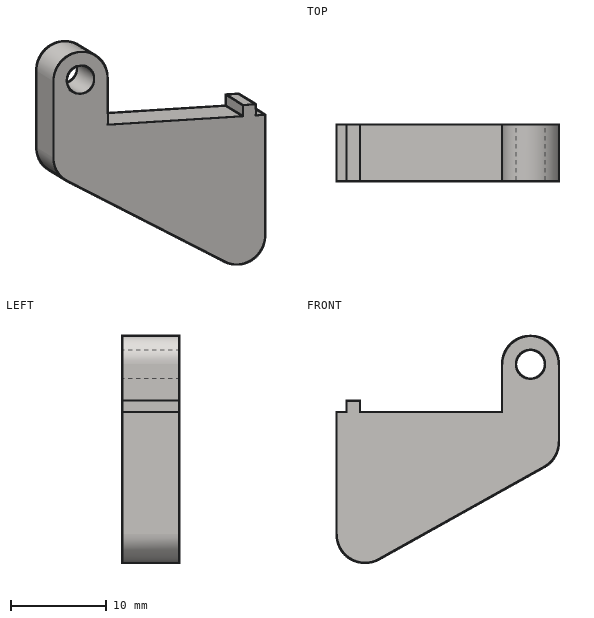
import cadquery as cq
import math

length = 23.4
thickness = 6.0
height = 23.9

end_radius = thickness / 2
hole_diameter = 3.0
lug_left = length - 2 * end_radius

shelf_height = 15.9
rib_left = 1.05
rib_width = 1.43
rib_height = 1.2

foot_center = (end_radius, end_radius)
elbow_center = (length - end_radius, 12.71)
lug_center = (length - end_radius, height - end_radius)

slope = math.atan2(elbow_center[1] - foot_center[1], elbow_center[0] - foot_center[0])
underside_direction = slope - math.pi / 2


def on_round(center, angle):
    """Point on a rounded corner at an angle measured from +X toward +Z."""
    return (
        center[0] + end_radius * math.cos(angle),
        center[1] + end_radius * math.sin(angle),
    )


def make_body():
    """Plate with a sloping underside and an upright lug at its right end."""
    profile = (
        cq.Workplane("XZ")
        .moveTo(0, shelf_height)
        .lineTo(*on_round(foot_center, math.pi))
        .threePointArc(
            on_round(foot_center, (underside_direction - math.pi) / 2),
            on_round(foot_center, underside_direction),
        )
        .lineTo(*on_round(elbow_center, underside_direction))
        .threePointArc(
            on_round(elbow_center, underside_direction / 2),
            on_round(elbow_center, 0),
        )
        .lineTo(*on_round(lug_center, 0))
        .threePointArc(
            on_round(lug_center, math.pi / 2),
            on_round(lug_center, math.pi),
        )
        .lineTo(lug_left, shelf_height)
        .close()
    )
    return profile.extrude(thickness / 2, both=True)


def make_rib():
    """Low rib across the full thickness."""
    return cq.Workplane("XY").box(
        rib_width, thickness, rib_height, centered=(False, True, False)
    ).translate((rib_left, 0, shelf_height))


def make_lug_hole():
    """Through hole concentric with the lug's round top."""
    return (
        cq.Workplane("XZ")
        .center(*lug_center)
        .circle(hole_diameter / 2)
        .extrude(thickness, both=True)
    )


result = make_body().union(make_rib()).cut(make_lug_hole())